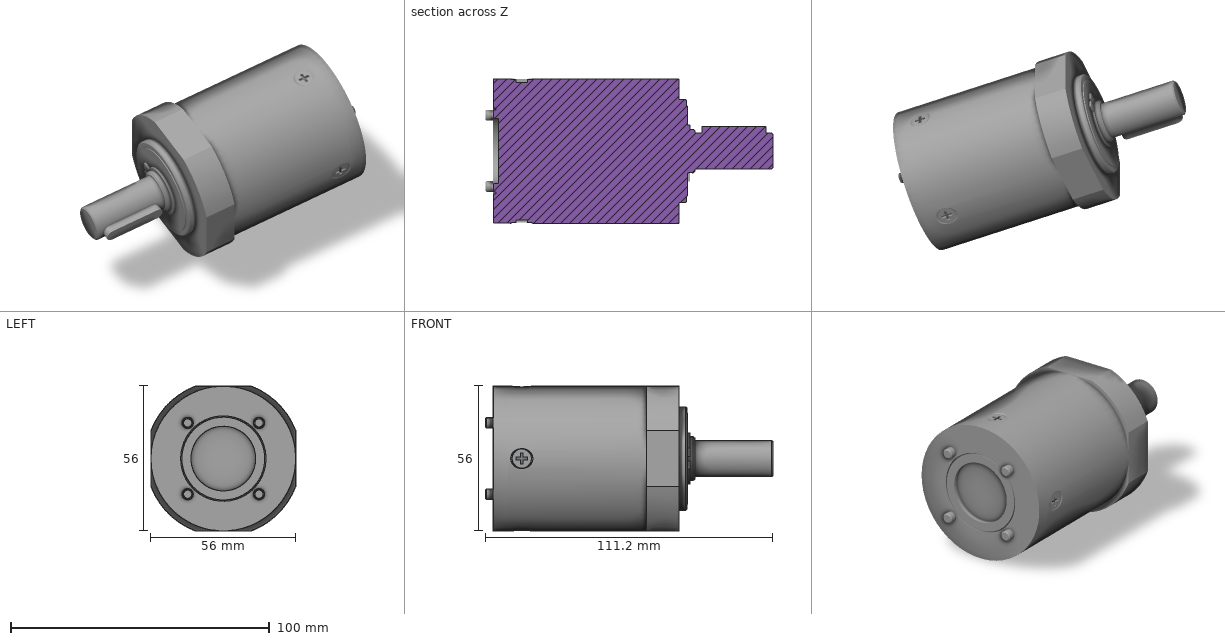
import cadquery as cq
total_length = 111.2
plate_rear_x = 2.9
seam_x = 8.8
flange_rear_x = 62.2
flange_front_x = 74.8
boss_front_x = 77.8
cover_front_x = 78.2
clip_front_x = 79.1
collar_front_x = 81.1

body_diameter = 56.0
flange_diameter = 60.0
flange_across_flats = body_diameter
boss_diameter = 40.0
boss_chamfer = 0.5
cover_diameter = 35.0

collar_diameter = 17.0
collar_chamfer = 0.8
shaft_diameter = 14.0
shaft_chamfer = 0.6

key_rear_x = 83.6
key_length = 25.0
key_width = 5.0
key_top_y = 9.6

clip_diameter = 19.8
clip_offset_y = 0.3
lug_reach = 11.9
lug_span = 8.0
lug_gap = 1.8

bore_diameter = 25.0
bore_depth = 2.0
groove_outer_diameter = 33.0
groove_inner_diameter = 32.0
groove_depth = 1.0
pin_diameter = 4.1
pin_chamfer = 0.5
pin_hole_diameter = 4.3
pin_hole_depth = 0.3
pin_offset = 13.8

screw_x = 14.0
screw_head_diameter = 7.5
countersink_outer_diameter = 8.6
screw_recess = 0.3
cross_length = 4.3
cross_width = 1.1
cross_depth = 1.0


def cylinder(start_x, end_x, diameter):
    """Solid cylinder on the X axis between two stations."""
    return cq.Workplane("YZ", origin=(start_x, 0, 0)).circle(diameter / 2).extrude(end_x - start_x)


def make_housing():
    plate = cylinder(plate_rear_x, seam_x, body_diameter)
    barrel = cylinder(seam_x, flange_front_x, body_diameter)
    flange_plane = cq.Workplane("YZ", origin=(flange_rear_x, 0, 0))
    flange = flange_plane.rect(flange_across_flats, flange_across_flats).extrude(flange_front_x - flange_rear_x)
    flange = flange.intersect(cylinder(flange_rear_x, flange_front_x, flange_diameter))
    boss = cylinder(flange_front_x, boss_front_x, boss_diameter).faces(">X").chamfer(boss_chamfer)
    cover = cylinder(boss_front_x, cover_front_x, cover_diameter)
    front = barrel.union(flange).union(boss).union(cover)
    return plate.union(front, clean=False)


def make_shaft():
    collar = cylinder(cover_front_x, collar_front_x, collar_diameter).faces(">X").chamfer(collar_chamfer)
    shaft = cylinder(cover_front_x, total_length, shaft_diameter).faces(">X").chamfer(shaft_chamfer)
    key = (
        cq.Workplane("XZ", origin=(key_rear_x + key_length / 2, 0, 0))
        .slot2D(key_length, key_width)
        .extrude(-key_top_y)
    )
    return collar.union(shaft).union(key)


def make_clip():
    thickness = clip_front_x - cover_front_x
    plane = cq.Workplane("YZ", origin=(cover_front_x, 0, 0))
    ring = plane.center(clip_offset_y, 0).circle(clip_diameter / 2).extrude(thickness)
    lugs = plane.center(-lug_reach / 2, 0).rect(lug_reach, lug_span).extrude(thickness)
    gap = plane.center(-lug_reach / 2, 0).rect(lug_reach, lug_gap).extrude(thickness)
    return ring.union(lugs).cut(gap)


def at_pins(start_x):
    """Workplane facing +X with the four pin centres selected."""
    plane = cq.Workplane("YZ", origin=(start_x, 0, 0))
    return plane.rect(2 * pin_offset, 2 * pin_offset, forConstruction=True).vertices()


def make_pins():
    """Four pins reaching from their chamfered tips to the bottom of their clearance holes."""
    pins = at_pins(0).circle(pin_diameter / 2).extrude(plate_rear_x + pin_hole_depth)
    return pins.faces("<X").chamfer(pin_chamfer)


def make_rear_recesses():
    plane = cq.Workplane("YZ", origin=(plate_rear_x, 0, 0))
    bore = plane.circle(bore_diameter / 2).extrude(bore_depth)
    groove = plane.circle(groove_outer_diameter / 2).circle(groove_inner_diameter / 2).extrude(groove_depth)
    pin_holes = at_pins(plate_rear_x).circle(pin_hole_diameter / 2).extrude(pin_hole_depth)
    return bore.union(groove).union(pin_holes)


def make_screw_recess():
    """Space removed around one screw head on the +Z side."""
    head_z = body_diameter / 2 - screw_recess
    plane = cq.Workplane("XY", origin=(screw_x, 0, head_z))
    countersink = (
        plane.circle(screw_head_diameter / 2)
        .workplane(offset=screw_recess)
        .circle(countersink_outer_diameter / 2)
        .loft(ruled=True)
    )
    arm_along = plane.rect(cross_length, cross_width).extrude(-cross_depth)
    arm_across = plane.rect(cross_width, cross_length).extrude(-cross_depth)
    return countersink.union(arm_along).union(arm_across)


result = make_housing().cut(make_rear_recesses(), clean=False)

screw_recess_shape = make_screw_recess()
for angle in (0, 90, 180, 270):
    result = result.cut(screw_recess_shape.rotate((0, 0, 0), (1, 0, 0), angle), clean=False)

for addition in (make_shaft(), make_clip(), make_pins()):
    result = result.union(addition, clean=False)